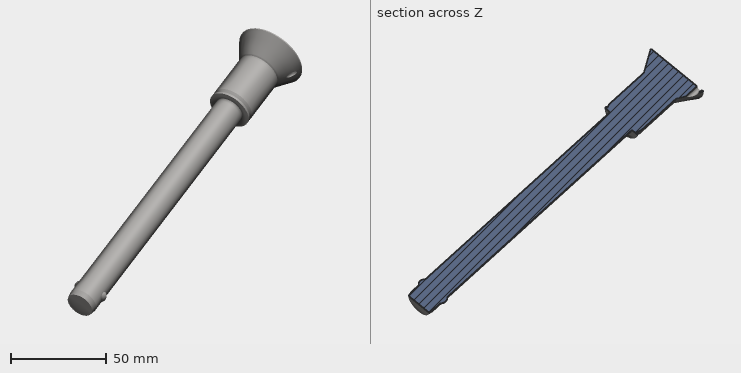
import cadquery as cq


overall_length = 197.1

shaft_diameter = 16.0
shaft_length = 154.0
tip_taper_length = 3.2
tip_diameter = shaft_diameter - 1.2

handle_length = overall_length - shaft_length
collar_diameter = 23.4
collar_width = 1.2
groove_width = 2.2
groove_diameter = collar_diameter - 1.4
grip_diameter = collar_diameter
neck_width = 0.7
neck_diameter = grip_diameter + 1.0
flare_length = 12.5
flare_diameter = 38.0
rim_width = 0.6

ball_radius = 3.4
ball_protrusion = 1.3
ball_to_tip = 11.0

lanyard_hole_diameter = 3.2
lanyard_hole_offset = 16.0


def make_shaft():
    """Round shaft with a tapered tip, running into the handle to form one body."""
    overlap = handle_length / 2
    return (
        cq.Workplane("XY")
        .moveTo(0, overlap)
        .lineTo(shaft_diameter / 2, overlap)
        .lineTo(shaft_diameter / 2, tip_taper_length - shaft_length)
        .lineTo(tip_diameter / 2, -shaft_length)
        .lineTo(0, -shaft_length)
        .close()
        .revolve(360, (0, 0, 0), (0, 1, 0))
    )


def make_handle():
    """Collar, tapered groove, grip, short neck and conical flare as one turned profile."""
    grip_start = collar_width + groove_width
    flare_start = handle_length - flare_length
    grip_end = flare_start - neck_width
    rim_start = handle_length - rim_width
    return (
        cq.Workplane("XY")
        .moveTo(0, 0)
        .lineTo(collar_diameter / 2, 0)
        .lineTo(collar_diameter / 2, collar_width)
        .lineTo(groove_diameter / 2, collar_width)
        .lineTo(grip_diameter / 2, grip_start)
        .lineTo(grip_diameter / 2, grip_end)
        .lineTo(neck_diameter / 2, flare_start)
        .lineTo(flare_diameter / 2, rim_start)
        .lineTo(flare_diameter / 2, handle_length)
        .lineTo(0, handle_length)
        .close()
        .revolve(360, (0, 0, 0), (0, 1, 0))
    )


def make_ball(side):
    """Locking ball on the +X (side = 1) or -X (side = -1) flank of the shaft."""
    center_x = shaft_diameter / 2 + ball_protrusion - ball_radius
    center = (side * center_x, ball_to_tip - shaft_length, 0)
    return cq.Workplane("XY").sphere(ball_radius).translate(center)


def make_lanyard_hole():
    """Cutter for the hole through the flare, parallel to the pin."""
    return (
        cq.Workplane("XZ")
        .center(lanyard_hole_offset, 0)
        .circle(lanyard_hole_diameter / 2)
        .extrude(-handle_length)
    )


result = make_shaft().union(make_handle())
for side in (1, -1):
    result = result.union(make_ball(side))
result = result.cut(make_lanyard_hole())